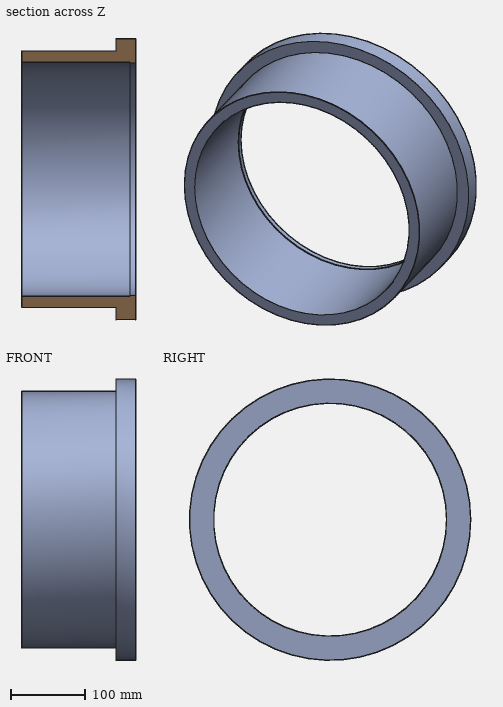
import cadquery as cq

length = 154.0
flange_diameter = 379.0
flange_thickness = 27.0
barrel_diameter = 346.0
bore_diameter = 315.0
lip_diameter = 313.0
lip_length = 8.0
edge_chamfer = 0.5


def cylinder(diameter, start, end):
    """Solid cylinder about the X axis between two positions along it."""
    return cq.Workplane("YZ").workplane(offset=start).circle(diameter / 2).extrude(end - start)


barrel = cylinder(barrel_diameter, 0, length).faces("<X").edges().chamfer(edge_chamfer)

flange_start = length - flange_thickness
flange = cylinder(flange_diameter, flange_start, length).faces(">X").edges().chamfer(edge_chamfer)

bore = cylinder(bore_diameter, 0, length - lip_length)
lip_opening = cylinder(lip_diameter, 0, length)

result = barrel.union(flange).cut(bore).cut(lip_opening)